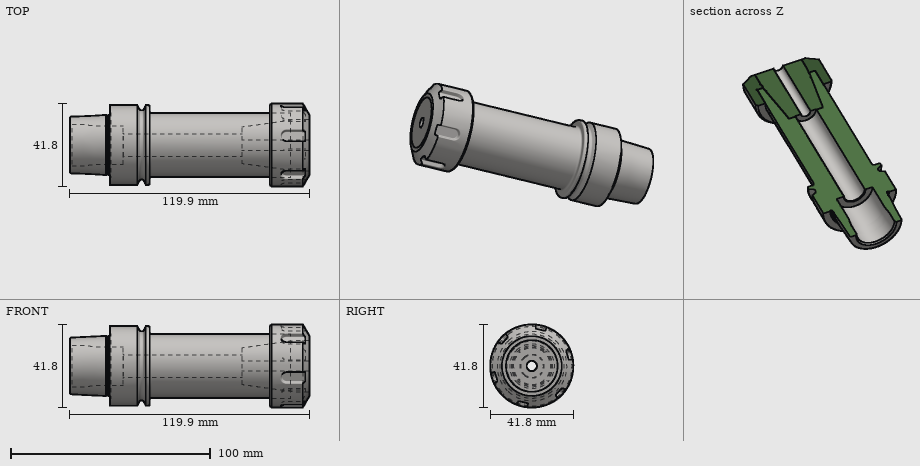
import cadquery as cq
import math

TOTAL_LENGTH = 119.9

FLANGE_X = 20.0
TAPER_END_X = 17.9
TAPER_TIP_RADIUS = 14.3
TAPER_BASE_RADIUS = 15.1
TAPER_TIP_ROUND = 0.8
NECK_RADIUS = TAPER_BASE_RADIUS
NECK_GROOVE_DEPTH = 0.2
NECK_GROOVE_RADIUS = NECK_RADIUS - NECK_GROOVE_DEPTH
NECK_GROOVE_START_X = 18.5
NECK_GROOVE_END_X = 19.0
NECK_X = 19.3
FACE_RECESS_RADIUS = 16.1
FACE_RECESS_DEPTH = 0.5

FLANGE_RADIUS = 20.0
FLANGE_END_X = 39.9
FLANGE_END_ROUND = 0.8
GROOVE_CENTRE_X = 35.9
GROOVE_HALF_WIDTH = 2.2
GROOVE_WALL_FOOT_OFFSET = 1.1
GROOVE_FLOOR_HALF_WIDTH = 0.4
GROOVE_WALL_FOOT_RADIUS = 17.9
GROOVE_FLOOR_RADIUS = 17.4
GROOVE_CORNER_ROUND = 1.0

SHAFT_RADIUS = 16.1
SHAFT_ROUND = 1.0
SHAFT_END_X = 110.3

MOUTH_RADIUS = 11.2
MOUTH_CHAMFER = 0.8
BORE_RADIUS = MOUTH_RADIUS - MOUTH_CHAMFER
BORE_CONE_START_X = 7.2
BORE_CONE_END_X = 12.5
INNER_BORE_RADIUS = 9.7
BORE_END_X = 26.4
PASSAGE_RADIUS = 5.6
PASSAGE_CHAMFER = 0.4

COLLET_RADIUS = 13.0
COLLET_LENGTH = 33.9
COLLET_HALF_ANGLE = 8.0
COLLET_HEAD_LENGTH = 7.2
COLLET_BORE_RADIUS = 2.5
COLLET_START_X = TOTAL_LENGTH - COLLET_LENGTH
COLLET_CONE_END_X = TOTAL_LENGTH - COLLET_HEAD_LENGTH
CONE_SLOPE = math.tan(math.radians(COLLET_HALF_ANGLE))

NUT_RADIUS = 20.9
NUT_START_X = 99.9
NUT_CHAMFER = 1.0
NUT_CONE_X = 116.4
NUT_FACE_RADIUS = 15.0

SLOT_COUNT = 6
NUT_TURN = 16.7
SLOT_PITCH = 360 / SLOT_COUNT
SLOT_WIDTH = 5.9
SLOT_WALL_ANGLE = 12.0
SLOT_CENTRE_X = 108.4
SLOT_FLOOR = 18.6
SLOT_FLOOR_ROUND = 0.4
SLOT_RIM_ROUND = 0.4
SLOT_RIM_BOTTOM = 20.4
SLOT_CLEARANCE = 1.2
SLOT_TOP = NUT_RADIUS + SLOT_CLEARANCE


def turned(outline):
    """Revolve a closed outline drawn in the XZ plane about the X axis."""
    return outline.close().revolve(360, (0, 0, 0), (1, 0, 0))


def collet_radius(x):
    """Radius of the collet cone at x; the holder's socket and the nut follow the same cone."""
    return COLLET_RADIUS - (COLLET_CONE_END_X - x) * CONE_SLOPE


def make_holder():
    """Hollow taper shank, flange and shaft in one piece, with the collet socket in the shaft end."""
    outline = (
        cq.Workplane("XZ")
        .moveTo(0, MOUTH_RADIUS)
        .lineTo(0, TAPER_TIP_RADIUS - TAPER_TIP_ROUND)
        .radiusArc((TAPER_TIP_ROUND, TAPER_TIP_RADIUS), TAPER_TIP_ROUND)
        .lineTo(TAPER_END_X, TAPER_BASE_RADIUS)
        .lineTo(NECK_GROOVE_START_X, NECK_GROOVE_RADIUS)
        .lineTo(NECK_GROOVE_END_X, NECK_GROOVE_RADIUS)
        .lineTo(NECK_X, NECK_RADIUS)
        .lineTo(FLANGE_X + FACE_RECESS_DEPTH, NECK_RADIUS)
        .lineTo(FLANGE_X + FACE_RECESS_DEPTH, FACE_RECESS_RADIUS)
        .lineTo(FLANGE_X, FACE_RECESS_RADIUS)
        .lineTo(FLANGE_X, FLANGE_RADIUS)
        .lineTo(GROOVE_CENTRE_X - GROOVE_HALF_WIDTH, FLANGE_RADIUS)
        .lineTo(GROOVE_CENTRE_X - GROOVE_WALL_FOOT_OFFSET, GROOVE_WALL_FOOT_RADIUS)
        .radiusArc(
            (GROOVE_CENTRE_X - GROOVE_FLOOR_HALF_WIDTH, GROOVE_FLOOR_RADIUS), -GROOVE_CORNER_ROUND
        )
        .lineTo(GROOVE_CENTRE_X + GROOVE_FLOOR_HALF_WIDTH, GROOVE_FLOOR_RADIUS)
        .radiusArc(
            (GROOVE_CENTRE_X + GROOVE_WALL_FOOT_OFFSET, GROOVE_WALL_FOOT_RADIUS), -GROOVE_CORNER_ROUND
        )
        .lineTo(GROOVE_CENTRE_X + GROOVE_HALF_WIDTH, FLANGE_RADIUS)
        .lineTo(FLANGE_END_X - FLANGE_END_ROUND, FLANGE_RADIUS)
        .radiusArc((FLANGE_END_X, FLANGE_RADIUS - FLANGE_END_ROUND), FLANGE_END_ROUND)
        .lineTo(FLANGE_END_X, SHAFT_RADIUS + SHAFT_ROUND)
        .radiusArc((FLANGE_END_X + SHAFT_ROUND, SHAFT_RADIUS), -SHAFT_ROUND)
        .lineTo(SHAFT_END_X, SHAFT_RADIUS)
        .lineTo(SHAFT_END_X, collet_radius(SHAFT_END_X))
        .lineTo(COLLET_START_X, collet_radius(COLLET_START_X))
        .lineTo(COLLET_START_X, PASSAGE_RADIUS)
        .lineTo(BORE_END_X + PASSAGE_CHAMFER, PASSAGE_RADIUS)
        .lineTo(BORE_END_X, PASSAGE_RADIUS + PASSAGE_CHAMFER)
        .lineTo(BORE_END_X, INNER_BORE_RADIUS)
        .lineTo(BORE_CONE_END_X, INNER_BORE_RADIUS)
        .lineTo(BORE_CONE_START_X, BORE_RADIUS)
        .lineTo(MOUTH_CHAMFER, BORE_RADIUS)
    )
    return turned(outline)


def make_collet():
    """Collet with a straight head, seated in the shaft end and flush with the nut face."""
    outline = (
        cq.Workplane("XZ")
        .moveTo(COLLET_START_X, COLLET_BORE_RADIUS)
        .lineTo(COLLET_START_X, collet_radius(COLLET_START_X))
        .lineTo(COLLET_CONE_END_X, COLLET_RADIUS)
        .lineTo(TOTAL_LENGTH, COLLET_RADIUS)
        .lineTo(TOTAL_LENGTH, COLLET_BORE_RADIUS)
    )
    return turned(outline)


def make_slot_cutter():
    """Path of a cone-sided cutter along the top of the nut, leaving it towards +X."""
    lean = math.radians(SLOT_WALL_ANGLE)
    top_half = SLOT_WIDTH / 2 + SLOT_CLEARANCE * math.tan(lean)
    wall_foot_height = SLOT_FLOOR + SLOT_FLOOR_ROUND * (1 - math.sin(lean))
    wall_foot_half = top_half - (SLOT_TOP - wall_foot_height) * math.tan(lean)
    floor_half = wall_foot_half - SLOT_FLOOR_ROUND * math.cos(lean)
    half_section = (
        cq.Workplane("YZ", origin=(SLOT_CENTRE_X, 0, 0))
        .moveTo(0, SLOT_FLOOR)
        .lineTo(floor_half, SLOT_FLOOR)
        .radiusArc((wall_foot_half, wall_foot_height), -SLOT_FLOOR_ROUND)
        .lineTo(top_half, SLOT_TOP)
        .lineTo(0, SLOT_TOP)
        .close()
    )
    round_end = half_section.revolve(360, (0, 0, 0), (0, 1, 0))
    half_run = half_section.toPending().extrude(TOTAL_LENGTH - SLOT_CENTRE_X)
    return round_end.union(half_run).union(half_run.mirror("XZ"))


def make_nut():
    """Clamping nut that encloses the shaft end and the collet head."""
    outline = (
        cq.Workplane("XZ")
        .moveTo(NUT_START_X, SHAFT_RADIUS)
        .lineTo(NUT_START_X, NUT_RADIUS - NUT_CHAMFER)
        .lineTo(NUT_START_X + NUT_CHAMFER, NUT_RADIUS)
        .lineTo(NUT_CONE_X, NUT_RADIUS)
        .lineTo(TOTAL_LENGTH, NUT_FACE_RADIUS)
        .lineTo(TOTAL_LENGTH, COLLET_RADIUS)
        .lineTo(COLLET_CONE_END_X, COLLET_RADIUS)
        .lineTo(SHAFT_END_X, collet_radius(SHAFT_END_X))
        .lineTo(SHAFT_END_X, SHAFT_RADIUS)
    )
    nut = turned(outline)

    slot_cutter = make_slot_cutter()
    slot_rim = cq.selectors.BoxSelector(
        (NUT_START_X, -SLOT_WIDTH, SLOT_RIM_BOTTOM),
        (TOTAL_LENGTH, SLOT_WIDTH, SLOT_TOP),
    )
    nut = nut.rotate((0, 0, 0), (1, 0, 0), -SLOT_PITCH / 2)
    for _ in range(SLOT_COUNT):
        nut = nut.cut(slot_cutter).edges(slot_rim).fillet(SLOT_RIM_ROUND)
        nut = nut.rotate((0, 0, 0), (1, 0, 0), SLOT_PITCH)
    return nut.rotate((0, 0, 0), (1, 0, 0), NUT_TURN + SLOT_PITCH / 2)


holder = make_holder()
collet = make_collet()
nut = make_nut()

result = cq.Compound.makeCompound([holder.val(), collet.val(), nut.val()])